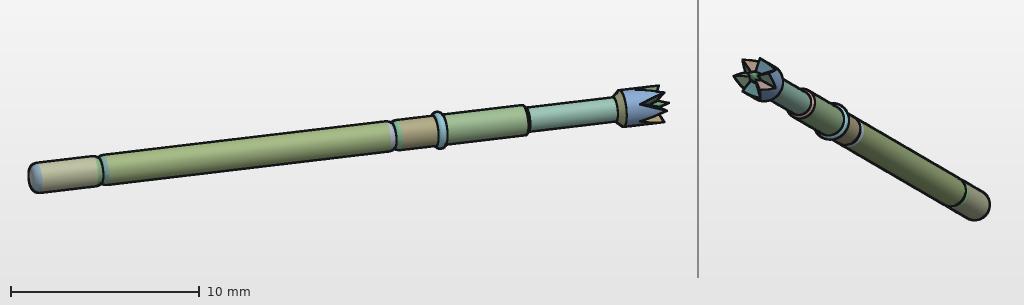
import cadquery as cq
import math

LENGTH = 35.4

BARREL_RADIUS = 0.8
BARREL_FRONT = 27.5
REAR_FACE_RADIUS = 0.4
REAR_ROUNDING = BARREL_RADIUS - REAR_FACE_RADIUS
CRIMP_CENTRES = (3.82, 20.07)
CRIMP_HALF_WIDTH = 0.32
CRIMP_LIP_RADIUS = 0.45
RING_CENTRE = 22.62
RING_RADIUS = 1.0
RING_HALF_WIDTH = 0.25

SHAFT_DIAMETER = 1.3
SHAFT_RADIUS = SHAFT_DIAMETER / 2
FRONT_CHAMFER = BARREL_RADIUS - SHAFT_RADIUS
HEAD_RADIUS = 1.0
TAPER_START = 32.35
HEAD_REAR = 32.75

TOOTH_COUNT = 6
TOOTH_TIP = 34.98
NOTCH_ROOT = 33.52
NOTCH_CENTRE_FLOOR = 34.5
SPIKE_BASE = 34.35
SPIKE_RADIUS = 0.32


def cylinder(radius, start, end):
    """Solid cylinder on the Y axis."""
    plane = cq.Plane(origin=(0, start, 0), xDir=(1, 0, 0), normal=(0, 1, 0))
    return cq.Workplane(plane).circle(radius).extrude(end - start)


def revolve_about_y(profile):
    """Revolve a closed (radius, Y) profile fully around the Y axis."""
    return profile.close().revolve(360, (0, 0, 0), (0, 1, 0))


def lip_point(angle, centre, side):
    """Point on the rounded lip of a crimp groove, at an angle from where it leaves the barrel."""
    radius = BARREL_RADIUS - CRIMP_LIP_RADIUS * (1 - math.cos(angle))
    offset = CRIMP_HALF_WIDTH - CRIMP_LIP_RADIUS * math.sin(angle)
    return (radius, centre + side * offset)


def crimp_groove(centre):
    """Ring-shaped cutter whose two convex lips meet in a sharp V."""
    full_angle = math.asin(CRIMP_HALF_WIDTH / CRIMP_LIP_RADIUS)
    half_angle = full_angle / 2
    profile = (
        cq.Workplane("XY")
        .moveTo(*lip_point(0, centre, -1))
        .threePointArc(lip_point(half_angle, centre, -1), lip_point(full_angle, centre, -1))
        .threePointArc(lip_point(half_angle, centre, 1), lip_point(0, centre, 1))
        .lineTo(RING_RADIUS, centre + CRIMP_HALF_WIDTH)
        .lineTo(RING_RADIUS, centre - CRIMP_HALF_WIDTH)
    )
    return revolve_about_y(profile)


def press_ring():
    """Rounded bead that stands on the barrel."""
    rear = RING_CENTRE - RING_HALF_WIDTH
    front = RING_CENTRE + RING_HALF_WIDTH
    profile = (
        cq.Workplane("XY")
        .moveTo(0, rear)
        .lineTo(BARREL_RADIUS, rear)
        .threePointArc((RING_RADIUS, RING_CENTRE), (BARREL_RADIUS, front))
        .lineTo(0, front)
    )
    return revolve_about_y(profile)


def barrel():
    body = cylinder(BARREL_RADIUS, 0, BARREL_FRONT)
    body = body.faces("<Y").edges().fillet(REAR_ROUNDING)
    body = body.faces(">Y").edges().chamfer(FRONT_CHAMFER)
    for centre in CRIMP_CENTRES:
        body = body.cut(crimp_groove(centre))
    return body.union(press_ring())


def plunger():
    """Shaft that starts inside the barrel and widens through a taper into the plain head."""
    profile = (
        cq.Workplane("XY")
        .moveTo(0, RING_CENTRE)
        .lineTo(SHAFT_RADIUS, RING_CENTRE)
        .lineTo(SHAFT_RADIUS, TAPER_START)
        .lineTo(HEAD_RADIUS, HEAD_REAR)
        .lineTo(HEAD_RADIUS, LENGTH)
        .lineTo(0, LENGTH)
    )
    return revolve_about_y(profile)


def notch_cutter():
    """V wedge pointing along +Z from the axis; its valley drops from the centre to the rim."""
    slope = (NOTCH_CENTRE_FLOOR - NOTCH_ROOT) / HEAD_RADIUS
    half_tooth_angle = math.pi / TOOTH_COUNT
    tip_along = HEAD_RADIUS * math.cos(half_tooth_angle)
    tip_across = HEAD_RADIUS * math.sin(half_tooth_angle)
    flank_ratio = tip_across / (TOOTH_TIP - NOTCH_CENTRE_FLOOR + slope * tip_along)

    reach = HEAD_RADIUS + 0.35
    top = LENGTH + 0.35
    outer_floor = NOTCH_CENTRE_FLOOR - slope * reach

    def section(wedge, floor):
        half_width = (top - floor) * flank_ratio
        return wedge.polyline([(0, floor), (half_width, top), (-half_width, top)]).close()

    wedge = section(cq.Workplane("XY"), NOTCH_CENTRE_FLOOR)
    wedge = section(wedge.workplane(offset=reach), outer_floor)
    return wedge.loft(ruled=True)


def crown(body):
    """Cut the notches into the head and set the spike in the middle."""
    cutter = notch_cutter()
    for index in range(TOOTH_COUNT):
        angle = index * 360 / TOOTH_COUNT
        body = body.cut(cutter.rotate((0, 0, 0), (0, 1, 0), angle))
    spike = (
        cq.Workplane("XY")
        .moveTo(0, SPIKE_BASE)
        .lineTo(SPIKE_RADIUS, SPIKE_BASE)
        .lineTo(0, LENGTH)
    )
    return body.union(revolve_about_y(spike))


result = barrel().union(crown(plunger()))